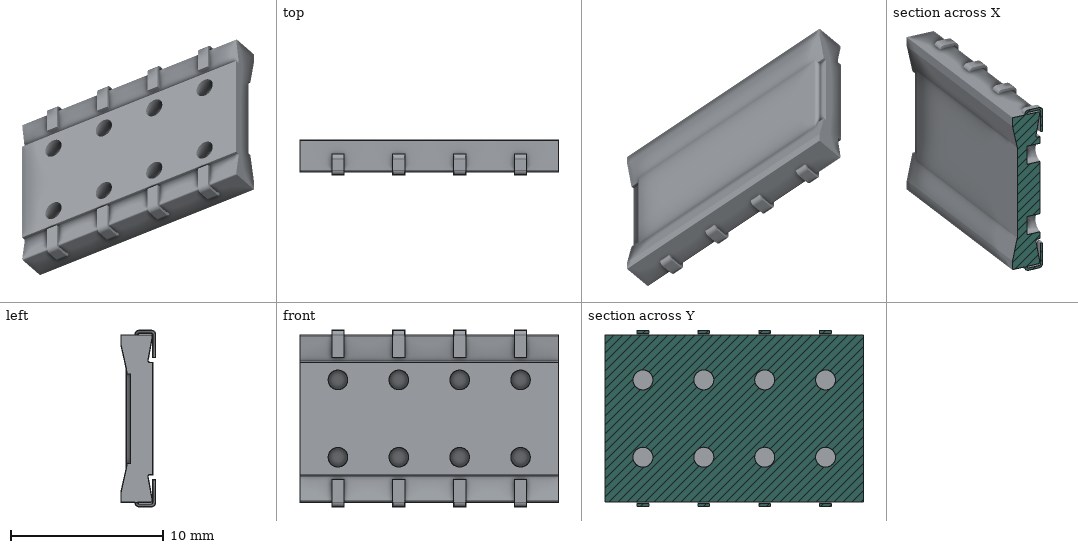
import cadquery as cq
import math

body_length = 16.99
body_height = 11.0
body_front = -0.95
body_thickness = 2.1
body_back = body_front + body_thickness
half_height = body_height / 2

groove_wall_z = 3.7
groove_angle = 10.4
groove_depth = (half_height - groove_wall_z) * math.tan(math.radians(groove_angle))
groove_round = 0.1

flange_edge_height = 0.65
flange_angle = 12.6
flange_slope = math.tan(math.radians(flange_angle))
flange_edge_z = half_height - flange_edge_height
recess_half_height = 2.94
recess_depth = 0.62
recess_lip_depth = (flange_edge_z - recess_half_height) * flange_slope

pad_top_depth = 0.355
pad_height = recess_depth - pad_top_depth
pad_half_height = flange_edge_z - pad_top_depth / flange_slope
pad_end_setback = 0.5
pad_length = body_length - 2 * pad_end_setback
pad_overlap = 0.5
pad_end_round = pad_height

column_count = 4
column_pitch = 4.0
column_xs = [(i - (column_count - 1) / 2) * column_pitch for i in range(column_count)]

hole_diameter = 1.28
hole_depth = 1.0
hole_z = 2.54

lead_width = 0.8
lead_thickness = 0.2
lead_gap = 0.105
lead_outer_round = lead_thickness + lead_gap
lead_inner_round = lead_outer_round - lead_thickness
lead_depth = 1.37
lead_front_length = 1.8
overall_depth = 2.29
lead_front = body_back - overall_depth
lead_back = lead_front + lead_depth
lead_top = half_height + lead_outer_round
lead_front_end_z = lead_top - lead_front_length


def make_body():
    """Extrude the end profile of the body along X, before the pad and holes."""
    upper_half = [
        (body_front, groove_wall_z),
        (body_front + groove_depth, groove_wall_z),
        (body_front, half_height),
        (body_back, half_height),
        (body_back, flange_edge_z),
        (body_back - recess_lip_depth, recess_half_height),
        (body_back - recess_depth, recess_half_height),
    ]
    lower_half = [(y, -z) for y, z in reversed(upper_half)]
    body = (
        cq.Workplane("YZ")
        .polyline(upper_half + lower_half)
        .close()
        .extrude(body_length / 2, both=True)
    )
    groove_bottom, front_top_edge = upper_half[1:3]
    for side in (1, -1):
        for y, z in (groove_bottom, front_top_edge):
            corner = cq.selectors.NearestToPointSelector((0, y, side * z))
            body = body.edges("|X").edges(corner).fillet(groove_round)
    return body


def make_pad():
    """Raised back pad with rounded ends."""
    pad_back = body_back - pad_top_depth
    pad_thickness = pad_height + pad_overlap
    return (
        cq.Workplane("XY")
        .box(pad_length, pad_thickness, 2 * pad_half_height)
        .edges("|Z and >Y")
        .fillet(pad_end_round)
        .translate((0, pad_back - pad_thickness / 2, 0))
    )


def make_lead(x):
    """Upper lead: a strip bent over the top edge, with its back tip on the body."""
    profile = (
        cq.Workplane("YZ")
        .moveTo(lead_front, lead_front_end_z)
        .lineTo(lead_front, half_height)
        .radiusArc((lead_front + lead_outer_round, lead_top), lead_outer_round)
        .lineTo(lead_back - lead_outer_round, lead_top)
        .radiusArc((lead_back, half_height), lead_outer_round)
        .lineTo(lead_back - lead_thickness, half_height)
        .radiusArc((lead_back - lead_outer_round, lead_top - lead_thickness), -lead_inner_round)
        .lineTo(lead_front + lead_outer_round, lead_top - lead_thickness)
        .radiusArc((lead_front + lead_thickness, half_height), -lead_inner_round)
        .lineTo(lead_front + lead_thickness, lead_front_end_z)
        .close()
    )
    return profile.extrude(lead_width / 2, both=True).translate((x, 0, 0))


def make_hole(x, z):
    """Cutter for one blind hole in the front face."""
    start = cq.Vector(x, body_front, z)
    inward = cq.Vector(0, 1, 0)
    return cq.Workplane(cq.Solid.makeCylinder(hole_diameter / 2, hole_depth, start, inward))


result = make_body().union(make_pad())
for column_x in column_xs:
    for row_z in (hole_z, -hole_z):
        result = result.cut(make_hole(column_x, row_z))
    upper_lead = make_lead(column_x)
    result = result.union(upper_lead).union(upper_lead.mirror("XY"))